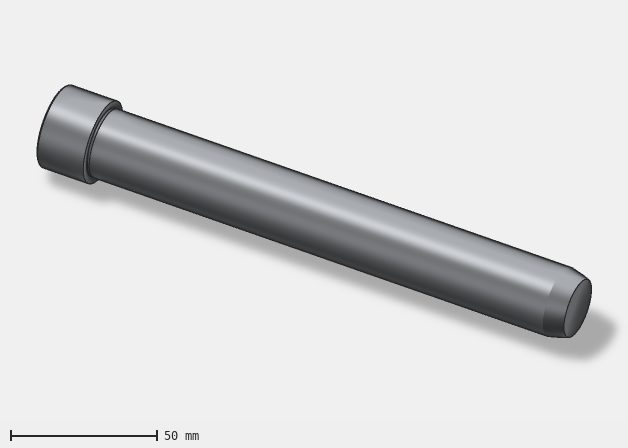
import cadquery as cq

total_length = 200.0
head_diameter = 30.0
head_length = 18.0
head_chamfer = 0.5
shank_diameter = 25.0
groove_width = 1.0
groove_depth = 0.3
tip_length = 7.0
tip_diameter = 21.0
tip_bulge = 0.2

head_radius = head_diameter / 2
shank_radius = shank_diameter / 2
tip_radius = tip_diameter / 2
groove_bottom = (head_length + groove_width / 2, shank_radius - groove_depth)
groove_end = (head_length + groove_width, shank_radius)
tip_start = total_length - tip_length
tip_middle = (total_length - tip_length / 2, (shank_radius + tip_radius) / 2 + tip_bulge)

half_profile = (
    cq.Workplane("XZ")
    .moveTo(0, 0)
    .lineTo(0, head_radius - head_chamfer)
    .lineTo(head_chamfer, head_radius)
    .lineTo(head_length, head_radius)
    .lineTo(head_length, shank_radius)
    .threePointArc(groove_bottom, groove_end)
    .lineTo(tip_start, shank_radius)
    .threePointArc(tip_middle, (total_length, tip_radius))
    .lineTo(total_length, 0)
    .close()
)

result = half_profile.revolve(360, (0, 0, 0), (1, 0, 0))